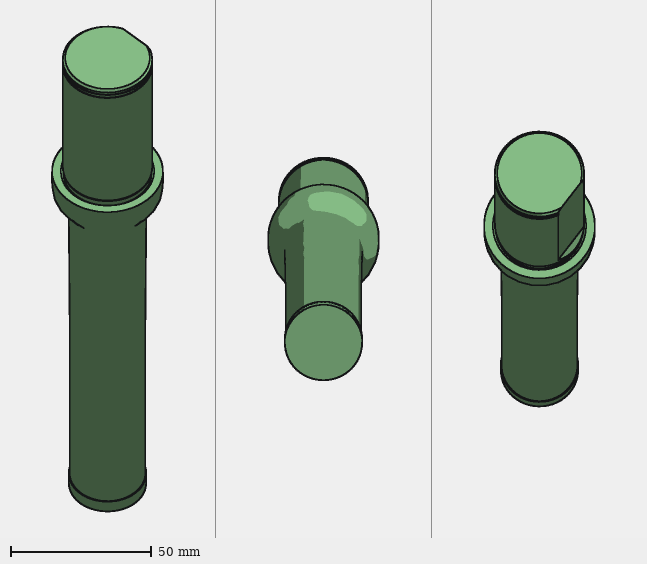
import cadquery as cq

total_length = 225.0

shaft_radius = 27.0 / 2
band_radius = 27.7 / 2
collar_radius = 39.5 / 2
collar_top = 165.2
collar_rim_height = 5.5
bell_bottom = 143.5
bell_hollow_point = (15.0, 148.5)
bell_bulge_point = (18.7, 154.0)
neck_band_bottom = 138.0
taper_bottom = 76.5
foot_height = 5.8
foot_face_radius = 4.7
foot_bevel_height = 0.7
seat_depth = 1.0
seat_mouth_radius = 33.3 / 2

head_radius = 32.0 / 2
groove_radius = 31.5 / 2
head_foot_height = 1.4
head_bottom_chamfer = 0.7
top_chamfer = 1.0
groove_top_drop = 2.2
groove_bottom_drop = 3.8

flat_offset = 14.0
flat_ramp_bottom = 168.0


def make_body():
    """Revolve the shaft, its foot and the bell collar with its conical head seat about Z."""
    rim_bottom = collar_top - collar_rim_height
    profile = (
        cq.Workplane("XZ")
        .moveTo(0, 0)
        .lineTo(foot_face_radius, 0)
        .lineTo(band_radius, foot_bevel_height)
        .lineTo(band_radius, foot_height)
        .lineTo(shaft_radius, foot_height)
        .lineTo(shaft_radius, taper_bottom)
        .lineTo(band_radius, neck_band_bottom)
        .lineTo(band_radius, bell_bottom)
        .spline(
            [bell_hollow_point, bell_bulge_point, (collar_radius, rim_bottom)],
            tangents=[(0, 1), (0, 1)],
            includeCurrent=True,
        )
        .lineTo(collar_radius, collar_top)
        .lineTo(seat_mouth_radius, collar_top)
        .lineTo(groove_radius, collar_top - seat_depth)
        .lineTo(0, collar_top - seat_depth)
        .close()
    )
    return profile.revolve(360, (0, 0, 0), (0, 1, 0))


def make_head_blank():
    """Revolve the head with its narrow foot, top groove and chamfers."""
    foot_top = collar_top + head_foot_height
    profile = (
        cq.Workplane("XZ")
        .moveTo(0, collar_top - seat_depth)
        .lineTo(groove_radius, collar_top - seat_depth)
        .lineTo(groove_radius, foot_top)
        .lineTo(head_radius, foot_top + head_bottom_chamfer)
        .lineTo(head_radius, total_length - groove_bottom_drop)
        .lineTo(groove_radius, total_length - groove_bottom_drop)
        .lineTo(groove_radius, total_length - groove_top_drop)
        .lineTo(head_radius, total_length - groove_top_drop)
        .lineTo(head_radius, total_length - top_chamfer)
        .lineTo(head_radius - top_chamfer, total_length)
        .lineTo(0, total_length)
        .close()
    )
    return profile.revolve(360, (0, 0, 0), (0, 1, 0))


def make_flat_cutter():
    """Material removed on the +Y side to leave the flat and its ramp."""
    ramp_size = head_radius - flat_offset
    return (
        cq.Workplane("YZ")
        .moveTo(head_radius, flat_ramp_bottom)
        .lineTo(flat_offset, flat_ramp_bottom + ramp_size)
        .lineTo(flat_offset, total_length)
        .lineTo(head_radius, total_length)
        .close()
        .extrude(head_radius, both=True)
    )


body = make_body()
head = make_head_blank().cut(make_flat_cutter())

result = cq.Compound.makeCompound([body.val(), head.val()])